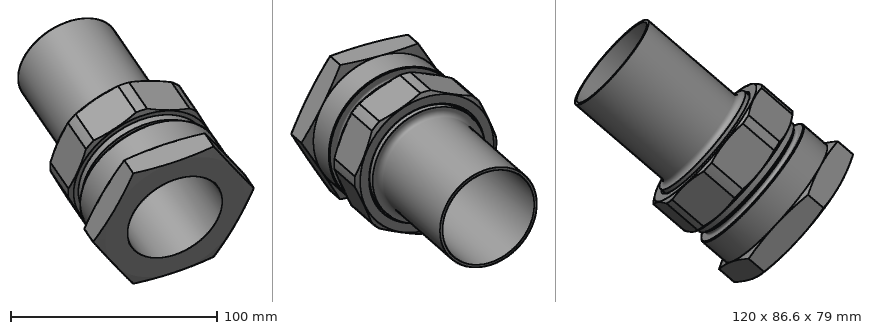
import cadquery as cq
import math


length = 120.0
bore_radius = 51.0 / 2
thread_radius = 69.4 / 2

pipe_radius = 54.0 / 2
collar_radius = 62.6 / 2
collar_start = 59.0
fillet_radius = 3.0
fillet_end_radius = pipe_radius + fillet_radius
flange_start = 66.0
flange_end = 69.6

nut_flats = 75.0
nut_sides = 8
nut_corner_radius = 79.0 / 2
nut_start = 61.0
nut_end = 83.9
nut_face_radius = 37.2
nut_chamfer_angle = 30.0
nut_mouth_chamfer = 1.0

hex_flats = 75.0
hex_sides = 6
hex_start = 106.8
hex_chamfer_angle = 15.0
barrel_radius = hex_flats / 2
barrel_start = 91.2
barrel_chamfer = 0.5
thread_end = 87.6
thread_chamfer_length = 0.7
runout_radius = 66.5 / 2
groove_radius = 65.4 / 2
groove_start = 89.2
groove_end = 90.0
groove_fillet = barrel_start - groove_end


def revolve_about_x(profile):
    """Close an (x, radius) profile and turn it about the X axis."""
    return profile.close().revolve(360, (0, 0, 0), (1, 0, 0))


def cylinder(start, end, radius):
    return cq.Workplane("YZ", origin=(start, 0, 0)).circle(radius).extrude(end - start)


def polygon_prism(sides, flats, start, end):
    """Regular prism along X with a corner on the Y axis."""
    across_corners = flats / math.cos(math.pi / sides)
    return cq.Workplane("YZ", origin=(start, 0, 0)).polygon(sides, across_corners).extrude(end - start)


def chamfered_blank(start, end, face_radius, outer_radius, angle):
    """Solid cylinder with a conical chamfer at both ends."""
    chamfer = (outer_radius - face_radius) * math.tan(math.radians(angle))
    profile = (
        cq.Workplane("XY")
        .moveTo(start, 0)
        .lineTo(start, face_radius)
        .lineTo(start + chamfer, outer_radius)
        .lineTo(end - chamfer, outer_radius)
        .lineTo(end, face_radius)
        .lineTo(end, 0)
    )
    return revolve_about_x(profile)


def make_tailpiece():
    profile = (
        cq.Workplane("XY")
        .moveTo(0, bore_radius)
        .lineTo(0, pipe_radius)
        .lineTo(collar_start - fillet_radius, pipe_radius)
        .radiusArc((collar_start, fillet_end_radius), -fillet_radius)
        .lineTo(collar_start, collar_radius)
        .lineTo(flange_start, collar_radius)
        .lineTo(flange_start, thread_radius)
        .lineTo(flange_end, thread_radius)
        .lineTo(flange_end, bore_radius)
    )
    return revolve_about_x(profile)


def make_nut():
    prism = polygon_prism(nut_sides, nut_flats, nut_start, nut_end)
    blank = chamfered_blank(nut_start, nut_end, nut_face_radius, nut_corner_radius, nut_chamfer_angle)
    lip_bore = cylinder(nut_start, flange_start, collar_radius)
    thread_bore = cylinder(flange_start, nut_end, thread_radius)
    mouth = revolve_about_x(
        cq.Workplane("XY")
        .moveTo(nut_start, 0)
        .lineTo(nut_start, collar_radius + nut_mouth_chamfer)
        .lineTo(nut_start + nut_mouth_chamfer, collar_radius)
        .lineTo(nut_start + nut_mouth_chamfer, 0)
    )
    return prism.intersect(blank).cut(lip_bore).cut(thread_bore).cut(mouth)


def make_hex_head():
    corner_radius = hex_flats / 2 / math.cos(math.pi / hex_sides)
    prism = polygon_prism(hex_sides, hex_flats, hex_start, length)
    blank = chamfered_blank(hex_start, length, hex_flats / 2, corner_radius, hex_chamfer_angle)
    return prism.intersect(blank).cut(cylinder(hex_start, length, bore_radius))


def make_body():
    profile = (
        cq.Workplane("XY")
        .moveTo(flange_end, bore_radius)
        .lineTo(flange_end, thread_radius)
        .lineTo(thread_end, thread_radius)
        .lineTo(thread_end + thread_chamfer_length, runout_radius)
        .lineTo(groove_start, groove_radius)
        .lineTo(groove_end, groove_radius)
        .radiusArc((barrel_start, groove_radius + groove_fillet), -groove_fillet)
        .lineTo(barrel_start, barrel_radius - barrel_chamfer)
        .lineTo(barrel_start + barrel_chamfer, barrel_radius)
        .lineTo(hex_start, barrel_radius)
        .lineTo(hex_start, bore_radius)
    )
    return revolve_about_x(profile).union(make_hex_head())


tailpiece = make_tailpiece()
nut = make_nut()
body = make_body()

result = cq.Compound.makeCompound([tailpiece.val(), nut.val(), body.val()])